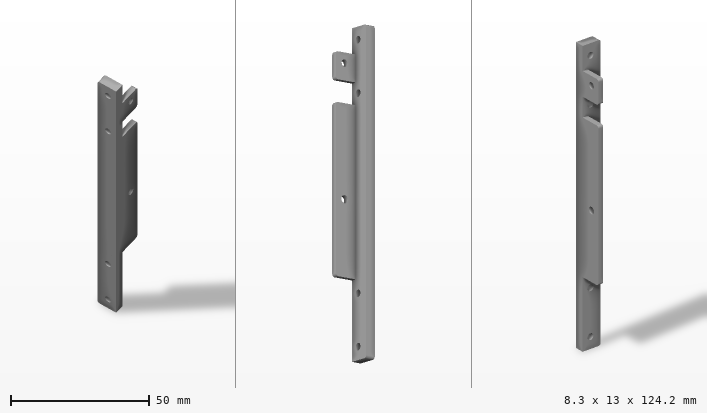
import cadquery as cq

length = 124.2
bar_width = 8.3
depth = 13.0

bar_thickness = 4.0
tab_thickness = 2.2
corner_radius = 1.0

bar_hole_diameter = 2.7
bar_hole_side_offset = 4.7
bar_hole_end_offset = 5.0
bar_hole_pair_pitch = 19.9

small_tab_start = 10.2
small_tab_height = 10.4
small_tab_hole_drop = 4.0
small_tab_hole_diameter = 2.7
long_tab_start = 29.0
long_tab_height = 64.8
long_tab_hole_drop = 35.8
long_tab_hole_diameter = 3.0
tab_hole_edge_offset = 4.0

left = -bar_width / 2
right = bar_width / 2
front = -depth / 2
back = depth / 2
top = length / 2


def make_bar():
    """Long bar with rounded left corners and four through holes."""
    bar = (
        cq.Workplane("XY")
        .box(bar_width, bar_thickness, length)
        .translate((0, front + bar_thickness / 2, 0))
        .edges("|Y and <X")
        .fillet(corner_radius)
    )
    hole_x = left + bar_hole_side_offset
    outer_z = top - bar_hole_end_offset
    inner_z = outer_z - bar_hole_pair_pitch
    holes = (
        cq.Workplane("XZ", origin=(0, front, 0))
        .pushPoints([(hole_x, z) for z in (outer_z, inner_z, -inner_z, -outer_z)])
        .circle(bar_hole_diameter / 2)
        .extrude(-bar_thickness)
    )
    return bar.cut(holes)


def make_tab(start, height, hole_drop, hole_diameter):
    """Flange tab flush with the right side, with rounded free corners and one hole."""
    tab_reach = depth - bar_thickness
    tab_top = top - start
    tab = (
        cq.Workplane("XY")
        .box(tab_thickness, tab_reach, height)
        .translate((right - tab_thickness / 2, back - tab_reach / 2, tab_top - height / 2))
        .edges("|X and >Y")
        .fillet(corner_radius)
    )
    hole = (
        cq.Workplane("YZ", origin=(right - tab_thickness, 0, 0))
        .center(back - tab_hole_edge_offset, tab_top - hole_drop)
        .circle(hole_diameter / 2)
        .extrude(tab_thickness)
    )
    return tab.cut(hole)


small_tab = make_tab(small_tab_start, small_tab_height, small_tab_hole_drop, small_tab_hole_diameter)
long_tab = make_tab(long_tab_start, long_tab_height, long_tab_hole_drop, long_tab_hole_diameter)

result = make_bar().union(small_tab).union(long_tab)